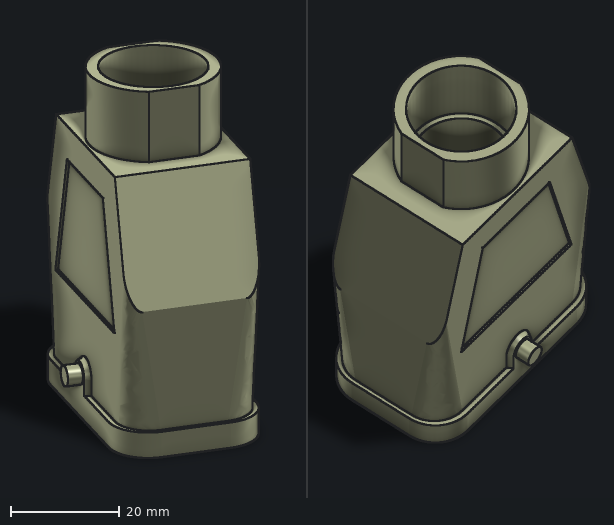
import cadquery as cq

flange_length = 47.9
flange_depth = 29.0
flange_height = 5.1
flange_corner_radius = 7.7

body_length = 46.05
body_depth = 26.6
body_top_z = 53.9
body_top_length = 32.5
knee_z = 29.1

corner_radius_low = 6.65
corner_radius_high = 1.8
corner_end_z = 37.4

total_height = 68.0
collar_diameter = 25.1
collar_flats_width = 23.05
collar_bore_diameter = 20.4
through_hole_diameter = 18.0

plate_bottom_z = 22.65
plate_top_z = 47.2
plate_bottom_length = 32.7
plate_top_length = 19.9
plate_center_x = -0.35
plate_depth = 0.55

pin_diameter = 4.0
pin_span = 34.9
pin_z = 8.4
boss_arch_z = 8.3
boss_foot_radius = 3.3
boss_face_radius = 2.65


def make_flange():
    return (
        cq.Workplane("XY")
        .rect(flange_length, flange_depth)
        .extrude(flange_height)
        .edges("|Z")
        .fillet(flange_corner_radius)
    )


def corner_section(z, radius):
    """Body cross-section at height z with the given corner radius."""
    return (
        cq.Sketch()
        .rect(body_length, body_depth)
        .vertices()
        .fillet(radius)
        .moved(cq.Location(cq.Vector(0, 0, z)))
    )


def make_body():
    low = corner_section(flange_height, corner_radius_low)
    high = corner_section(corner_end_z, corner_radius_high)
    rounded_part = cq.Workplane("XY").placeSketch(low, high).loft(ruled=True)
    square_part = (
        cq.Workplane("XY", origin=(0, 0, corner_end_z))
        .rect(body_length, body_depth)
        .extrude(body_top_z - corner_end_z)
    )
    envelope = (
        cq.Workplane("XZ")
        .polyline([
            (-body_length / 2, flange_height),
            (body_length / 2, flange_height),
            (body_length / 2, knee_z),
            (body_top_length / 2, body_top_z),
            (-body_top_length / 2, body_top_z),
            (-body_length / 2, knee_z),
        ])
        .close()
        .extrude(body_depth / 2, both=True)
    )
    return rounded_part.union(square_part).intersect(envelope)


def make_collar():
    height = total_height - body_top_z
    base = cq.Workplane("XY", origin=(0, 0, body_top_z))
    flats = base.rect(collar_flats_width, collar_diameter).extrude(height)
    return base.circle(collar_diameter / 2).extrude(height).intersect(flats)


def cut_bores(solid):
    through = cq.Workplane("XY").circle(through_hole_diameter / 2).extrude(total_height)
    collar_bore = (
        cq.Workplane("XY", origin=(0, 0, body_top_z))
        .circle(collar_bore_diameter / 2)
        .extrude(total_height - body_top_z)
    )
    return solid.cut(through).cut(collar_bore)


def make_plate_recess():
    return (
        cq.Workplane("XZ", origin=(plate_center_x, -body_depth / 2, 0))
        .polyline([
            (-plate_bottom_length / 2, plate_bottom_z),
            (plate_bottom_length / 2, plate_bottom_z),
            (plate_top_length / 2, plate_top_z),
            (-plate_top_length / 2, plate_top_z),
        ])
        .close()
        .extrude(-plate_depth)
    )


def arch_wire(face, radius):
    """Round-topped outline around the pin axis, running straight down into the flange."""
    return (
        face.moveTo(-radius, 0)
        .lineTo(radius, 0)
        .lineTo(radius, boss_arch_z)
        .threePointArc((0, boss_arch_z + radius), (-radius, boss_arch_z))
        .close()
    )


def make_boss():
    """Arched pad on the front wall, sloping in to a narrower face flush with the flange."""
    foot = arch_wire(cq.Workplane("XZ", origin=(0, -body_depth / 2, 0)), boss_foot_radius)
    face_offset = (flange_depth - body_depth) / 2
    return arch_wire(foot.workplane(offset=face_offset), boss_face_radius).loft(ruled=True)


def add_pins(solid):
    pin = (
        cq.Workplane("XZ", origin=(0, pin_span / 2, pin_z))
        .circle(pin_diameter / 2)
        .extrude(pin_span)
    )
    boss = make_boss()
    return solid.union(boss).union(boss.mirror("XZ")).union(pin)


hood = make_flange().union(make_body()).union(make_collar())
hood = hood.cut(make_plate_recess())
hood = add_pins(hood)
result = cut_bores(hood)